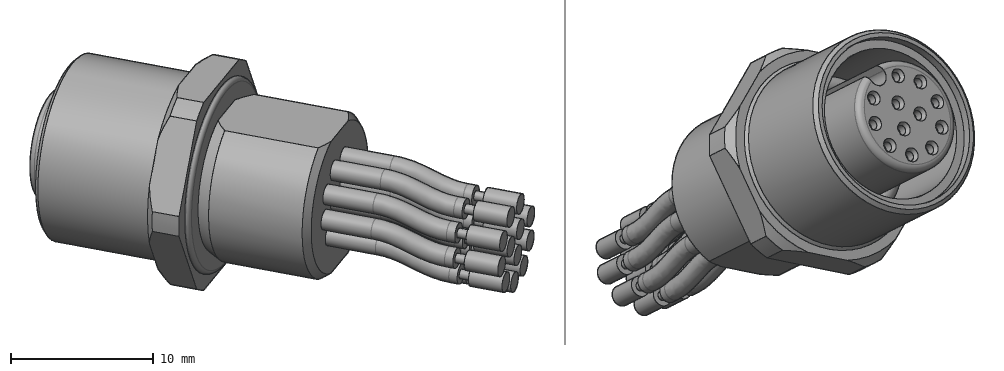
import cadquery as cq
import math

SHELL_FRONT = 1.52
SHELL_BACK = 10.25
HEX_FRONT = 10.45
HEX_BACK = 13.03
FLANGE_BACK = 13.4
TAPER_END = 14.4
BODY_BACK = 21.95
BEND_START = 25.75
BEND_END = 31.28
STRIP_START = 31.9
STRIP_END = 32.75
WIRE_END = 35.3

SHELL_RADIUS = 13.5 / 2
SHELL_CHAMFER = 0.3
COLLAR_RADIUS = 6.95
MOUTH_RADIUS = 12.3 / 2
MOUTH_DEPTH = 0.7
BORE_RADIUS = 11.0 / 2

HEX_FLATS = 15.0
HEX_CORNER_RADIUS = 16.5 / 2
HEX_CHAMFER = 0.55
FLANGE_RADIUS = 7.1
FLANGE_FILLET = 0.32

BODY_RADIUS = 12.0 / 2
BODY_END_RADIUS = 11.0 / 2
BODY_FLATS = 10.52
BODY_CHAMFER = BODY_RADIUS - BODY_END_RADIUS

INSERT_RADIUS = 4.1
INSERT_FILLET = 0.5
KEY_ANGLE = 45.0
KEY_WIDTH = 1.4
KEY_CENTRE_RADIUS = 3.5
RING_TUBE_RADIUS = (BORE_RADIUS - INSERT_RADIUS) / 2
RING_CENTRE_RADIUS = (BORE_RADIUS + INSERT_RADIUS) / 2

OUTER_COUNT = 9
OUTER_RADIUS = 2.9
OUTER_PITCH = 37.6
INNER_COUNT = 3
INNER_RADIUS = 1.1
HOLE_DIAMETER = 0.7
HOLE_MOUTH_DIAMETER = 1.02
HOLE_TAPER = 0.35
HOLE_DEPTH = 1.05
WIRE_RADIUS = 1.5 / 2
CORE_RADIUS = 0.7 / 2
WIRE_DROP = 1.13

OVERLAP = 0.18


def cylinder(start, end, radius, y=0.0, z=0.0):
    """Cylinder along X between two positions."""
    return cq.Workplane("YZ", origin=(start, y, z)).circle(radius).extrude(end - start)


def revolve_profile(points):
    """Solid of revolution about X from (position, radius) points."""
    return cq.Workplane("XY").polyline(points).close().revolve(360, (0, 0, 0), (1, 0, 0))


def polar(radius, angle):
    """Y and Z of a point at a radius and an angle measured from +Y toward +Z."""
    turn = math.radians(angle)
    return radius * math.cos(turn), radius * math.sin(turn)


def contact_positions():
    """Outer contacts leave a wide gap at the key; inner contacts are evenly spaced."""
    first_angle = KEY_ANGLE + (360 - (OUTER_COUNT - 1) * OUTER_PITCH) / 2
    outer = [polar(OUTER_RADIUS, first_angle + i * OUTER_PITCH) for i in range(OUTER_COUNT)]
    inner = [polar(INNER_RADIUS, KEY_ANGLE + i * 360 / INNER_COUNT) for i in range(INNER_COUNT)]
    return outer + inner


def make_shell():
    shell = cylinder(SHELL_FRONT, HEX_FRONT + OVERLAP, SHELL_RADIUS)
    shell = shell.faces("<X").chamfer(SHELL_CHAMFER)
    collar = revolve_profile([
        (SHELL_BACK, 0),
        (SHELL_BACK, SHELL_RADIUS),
        (HEX_FRONT, COLLAR_RADIUS),
        (HEX_FRONT, 0),
    ])
    return shell.union(collar)


def make_hex():
    across_corners = HEX_FLATS / math.cos(math.pi / 6)
    hexagon = cq.Workplane("YZ", origin=(HEX_FRONT, 0, 0)).polygon(6, across_corners)
    hexagon = hexagon.extrude(HEX_BACK - HEX_FRONT)
    envelope = cylinder(HEX_FRONT, HEX_BACK, HEX_CORNER_RADIUS).faces("<X").chamfer(HEX_CHAMFER)
    return hexagon.intersect(envelope)


def make_flange():
    flange = cylinder(HEX_BACK - OVERLAP, FLANGE_BACK, FLANGE_RADIUS)
    return flange.faces(">X").edges().fillet(FLANGE_FILLET)


def make_body():
    body = revolve_profile([
        (FLANGE_BACK - OVERLAP, 0),
        (FLANGE_BACK - OVERLAP, BODY_END_RADIUS),
        (FLANGE_BACK, BODY_END_RADIUS),
        (TAPER_END, BODY_RADIUS),
        (BODY_BACK - BODY_CHAMFER, BODY_RADIUS),
        (BODY_BACK, BODY_END_RADIUS),
        (BODY_BACK, 0),
    ])
    flats = cq.Workplane("XY").box(2 * BODY_BACK, 2 * BODY_RADIUS, BODY_FLATS)
    return body.intersect(flats)


def make_bore():
    mouth = cylinder(SHELL_FRONT, SHELL_FRONT + MOUTH_DEPTH, MOUTH_RADIUS)
    return mouth.union(cylinder(SHELL_FRONT, SHELL_BACK, BORE_RADIUS))


def make_key_slot():
    """Round-bottomed groove along the insert, opening outward at the key angle."""
    groove = cylinder(0, SHELL_BACK, KEY_WIDTH / 2, y=KEY_CENTRE_RADIUS)
    opening = cq.Workplane("XY").box(SHELL_BACK, KEY_WIDTH, KEY_WIDTH, centered=(False, False, True))
    groove = groove.union(opening.translate((0, KEY_CENTRE_RADIUS, 0)))
    return groove.rotate((0, 0, 0), (1, 0, 0), KEY_ANGLE)


def make_insert():
    insert = cylinder(0, SHELL_BACK + OVERLAP, INSERT_RADIUS)
    insert = insert.faces("<X").edges().fillet(INSERT_FILLET)
    insert = insert.cut(make_key_slot())
    hole = revolve_profile([
        (0, 0),
        (0, HOLE_MOUTH_DIAMETER / 2),
        (HOLE_TAPER, HOLE_DIAMETER / 2),
        (HOLE_DEPTH, HOLE_DIAMETER / 2),
        (HOLE_DEPTH, 0),
    ])
    for y, z in contact_positions():
        insert = insert.cut(hole.translate((0, y, z)))
    return insert


def make_seal_ring():
    """Seal ring resting on the bore floor, filling the gap between insert and bore."""
    ring_x = SHELL_BACK - RING_TUBE_RADIUS
    section = cq.Workplane("XY").center(ring_x, RING_CENTRE_RADIUS).circle(RING_TUBE_RADIUS)
    ring = section.revolve(360, (-ring_x, -RING_CENTRE_RADIUS, 0), (0.35 - ring_x, -RING_CENTRE_RADIUS, 0))
    seat = cylinder(ring_x, SHELL_BACK + OVERLAP, BORE_RADIUS)
    return ring.union(seat)


def make_wire():
    """Wire lowered by a smooth S-bend, with a stripped gap near its end."""
    path = (
        cq.Workplane("XZ")
        .moveTo(BODY_BACK - OVERLAP, 0)
        .lineTo(BEND_START, 0)
        .spline([(BEND_END, -WIRE_DROP)], tangents=[(1, 0), (1, 0)], includeCurrent=True)
        .lineTo(STRIP_START, -WIRE_DROP)
    )
    wire = cq.Workplane("YZ", origin=(BODY_BACK - OVERLAP, 0, 0)).circle(WIRE_RADIUS).sweep(path)
    core = cylinder(STRIP_START - OVERLAP, STRIP_END + OVERLAP, CORE_RADIUS, z=-WIRE_DROP)
    sleeve = cylinder(STRIP_END, WIRE_END, WIRE_RADIUS, z=-WIRE_DROP)
    return wire.union(core).union(sleeve)


result = make_shell().union(make_hex()).union(make_flange()).union(make_body())
result = result.cut(make_bore()).union(make_seal_ring()).union(make_insert())
wire = make_wire()
for y, z in contact_positions():
    result = result.union(wire.translate((0, y, z)))